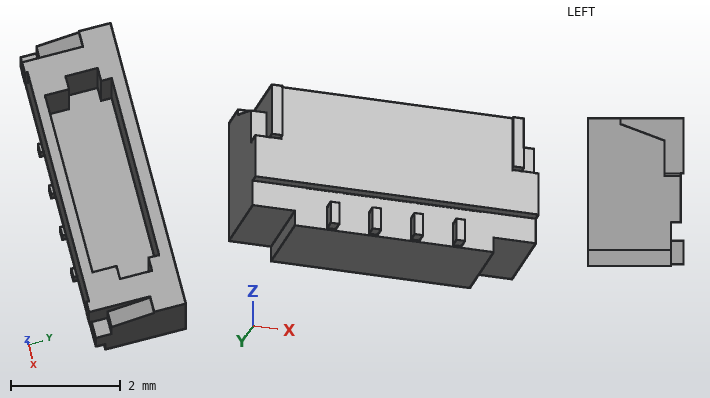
import cadquery as cq

length = 5.4
depth = 1.75
height = 2.7

housing_front = 0.05
base_front = 0.225
base_step_z = 0.8
foot_height = 0.295
foot_length = 3.79

cavity_length = 3.4
cavity_front = 0.25
cavity_back = depth - 0.245
lobe_length = 3.9
lobe_front = 0.7
lobe_back = 1.305
cavity_floor_z = base_step_z

blade_outer_offset = 0.295
blade_thickness = 0.2
blade_bottom_z = 1.69
notch_width = blade_outer_offset + blade_thickness
notch_bottom_z = 1.64
notch_wall_y = 0.345
notch_back = 1.15
slope_low_z = 2.29
slope_high_z = 2.59

tail_count = 4
tail_pitch = 0.8
tail_width = 0.16
tail_bottom_z = 0.03
tail_top_z = 0.465


def box(x_min, x_max, y_min, y_max, z_min, z_max):
    """Axis-aligned block between the given limits."""
    size = (x_max - x_min, y_max - y_min, z_max - z_min)
    return cq.Workplane("XY").box(*size, centered=False).translate((x_min, y_min, z_min))


def centred_box(x_size, y_min, y_max, z_min, z_max):
    """Block symmetric about the YZ plane."""
    return box(-x_size / 2, x_size / 2, y_min, y_max, z_min, z_max)


def make_housing():
    upper = centred_box(length, housing_front, depth, base_step_z, height)
    base = centred_box(length, base_front, depth, foot_height, base_step_z)
    foot = centred_box(foot_length, base_front, depth, 0, foot_height)
    return upper.union(base).union(foot)


def make_cavity():
    main = centred_box(cavity_length, cavity_front, cavity_back, cavity_floor_z, height)
    lobes = centred_box(lobe_length, lobe_front, lobe_back, cavity_floor_z, height)
    return main.union(lobes)


def corner_profile(front, bottom_z):
    """Side outline with a sloping rear edge, drawn in the YZ plane at the left end."""
    return (
        cq.Workplane("YZ", origin=(-length / 2, 0, 0))
        .moveTo(front, bottom_z)
        .lineTo(notch_wall_y, bottom_z)
        .lineTo(notch_wall_y, slope_low_z)
        .lineTo(notch_back, slope_high_z)
        .lineTo(notch_back, height)
        .lineTo(front, height)
        .close()
    )


def make_left_notch():
    return corner_profile(0, notch_bottom_z).extrude(notch_width)


def make_left_blade():
    blade = corner_profile(0, blade_bottom_z).extrude(blade_thickness)
    return blade.translate((blade_outer_offset, 0, 0))


def make_tail(x_centre):
    half_width = tail_width / 2
    return box(x_centre - half_width, x_centre + half_width, 0, base_front, tail_bottom_z, tail_top_z)


result = make_housing().cut(make_cavity())

left_notch = make_left_notch()
left_blade = make_left_blade()
result = result.cut(left_notch).cut(left_notch.mirror("YZ"))
result = result.union(left_blade).union(left_blade.mirror("YZ"))

for index in range(tail_count):
    tail_x = (index - (tail_count - 1) / 2) * tail_pitch
    result = result.union(make_tail(tail_x))